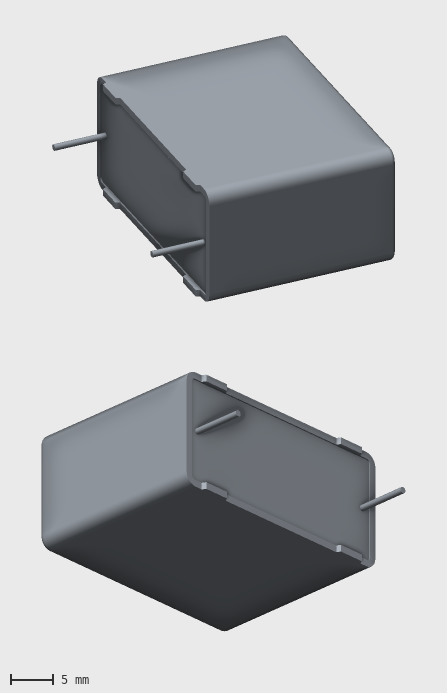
import cadquery as cq

case_width = 31.5
case_depth = 24.0
case_height = 15.0
corner_radius = 1.5
back_edge_radius = 0.5

rim_wall = 0.88
recess_depth = 0.2
recess_corner_radius = 0.5

foot_height = 0.5
foot_root_length = 4.0
foot_tip_length = 3.5
foot_center_x = 11.25

lead_diameter = 0.8
lead_length = 6.5
lead_pitch = 27.5


def make_case():
    """Solid block from the rim plane (y = 0) to the rounded back."""
    block = cq.Workplane("XY").box(case_width, case_depth, case_height, centered=(True, False, True))
    return block.edges("|Y").fillet(corner_radius).faces(">Y").edges().fillet(back_edge_radius)


def make_recess():
    """Shallow pocket that leaves the rim standing around the filling."""
    pocket = cq.Workplane("XY").box(
        case_width - 2 * rim_wall,
        recess_depth,
        case_height - 2 * rim_wall,
        centered=(True, False, True),
    )
    return pocket.edges("|Y").fillet(recess_corner_radius)


def make_foot(center_x, bottom_z):
    """Trapezoidal foot, one rim wall thick, pointing towards -Y."""
    outline = [
        (center_x - foot_root_length / 2, 0),
        (center_x + foot_root_length / 2, 0),
        (center_x + foot_tip_length / 2, -foot_height),
        (center_x - foot_tip_length / 2, -foot_height),
    ]
    return cq.Workplane("XY", origin=(0, 0, bottom_z)).polyline(outline).close().extrude(rim_wall)


def make_lead(center_x):
    """Straight round wire from the recess floor out past the rim."""
    floor = cq.Workplane("XZ", origin=(center_x, recess_depth, 0))
    return floor.circle(lead_diameter / 2).extrude(recess_depth + lead_length)


result = make_case().cut(make_recess())

for side in (-1, 1):
    result = result.union(make_lead(side * lead_pitch / 2))
    for bottom_z in (-case_height / 2, case_height / 2 - rim_wall):
        result = result.union(make_foot(side * foot_center_x, bottom_z))